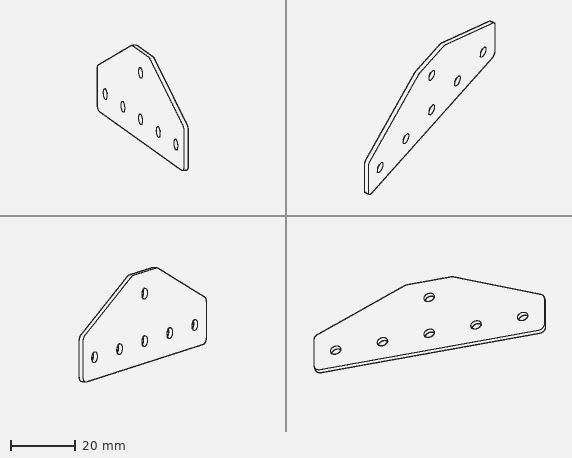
import cadquery as cq

length = 74.0
thickness = 1.5
height = 29.0
end_height = 14.35
top_width = 14.95
corner_radius = 2.0

hole_diameter = 3.3
hole_pitch = 15.0
row_count = 5
row_height = 7.0

half_length = length / 2
half_top = top_width / 2

plate = (
    cq.Workplane("XZ")
    .polyline([
        (-half_length, 0),
        (half_length, 0),
        (half_length, end_height),
        (half_top, height),
        (-half_top, height),
        (-half_length, end_height),
    ])
    .close()
    .extrude(thickness / 2, both=True)
    .edges("|Y")
    .fillet(corner_radius)
)

row_start = -hole_pitch * (row_count - 1) / 2
hole_centers = [(row_start + i * hole_pitch, row_height) for i in range(row_count)]
hole_centers.append((0, row_height + hole_pitch))

holes = (
    cq.Workplane("XZ")
    .pushPoints(hole_centers)
    .circle(hole_diameter / 2)
    .extrude(thickness, both=True)
)

result = plate.cut(holes)